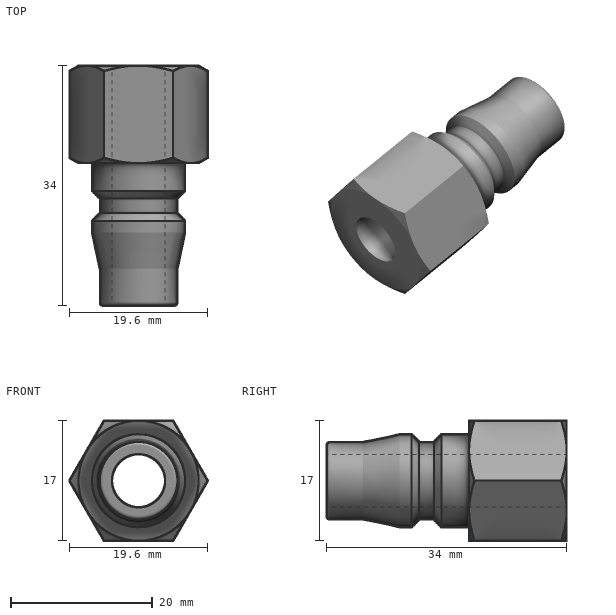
import cadquery as cq
import math

total_length = 34.0
across_flats = 17.0
hex_length = 13.8
chamfer_angle = math.radians(30)

collar_radius = 6.6
neck_radius = 5.5
bore_radius = 3.75
collar_length = 3.9
shoulder = collar_radius - neck_radius
groove_width = 2.07
ridge_length = 1.65
taper_length = 5.15
nose_round = 0.5

corner_radius = across_flats / math.sqrt(3)
flat_radius = across_flats / 2
chamfer_depth = (corner_radius - flat_radius) * math.tan(chamfer_angle)

hex_front = -hex_length
collar_end = hex_front - collar_length
groove_start = collar_end - shoulder
groove_end = groove_start - groove_width
ridge_start = groove_end - shoulder
ridge_end = ridge_start - ridge_length
taper_end = ridge_end - taper_length


def make_hex():
    """Hexagon with corners on X, both ends chamfered by a cone."""
    prism = cq.Workplane("XZ").polygon(6, 2 * corner_radius).extrude(hex_length)
    envelope = (
        cq.Workplane("XY")
        .moveTo(0, 0)
        .lineTo(flat_radius, 0)
        .lineTo(corner_radius, -chamfer_depth)
        .lineTo(corner_radius, hex_front + chamfer_depth)
        .lineTo(flat_radius, hex_front)
        .lineTo(0, hex_front)
        .close()
        .revolve(360, (0, 0, 0), (0, 1, 0))
    )
    return prism.intersect(envelope)


def make_plug():
    """Turned plug: collar, locking groove, ridge, taper and nose."""
    return (
        cq.Workplane("XY")
        .moveTo(0, hex_front)
        .lineTo(collar_radius, hex_front)
        .lineTo(collar_radius, collar_end)
        .lineTo(neck_radius, groove_start)
        .lineTo(neck_radius, groove_end)
        .lineTo(collar_radius, ridge_start)
        .lineTo(collar_radius, ridge_end)
        .lineTo(neck_radius, taper_end)
        .lineTo(neck_radius, nose_round - total_length)
        .radiusArc((neck_radius - nose_round, -total_length), nose_round)
        .lineTo(0, -total_length)
        .close()
        .revolve(360, (0, 0, 0), (0, 1, 0))
    )


bore = cq.Workplane("XZ").circle(bore_radius).extrude(total_length)
result = make_hex().union(make_plug()).cut(bore)